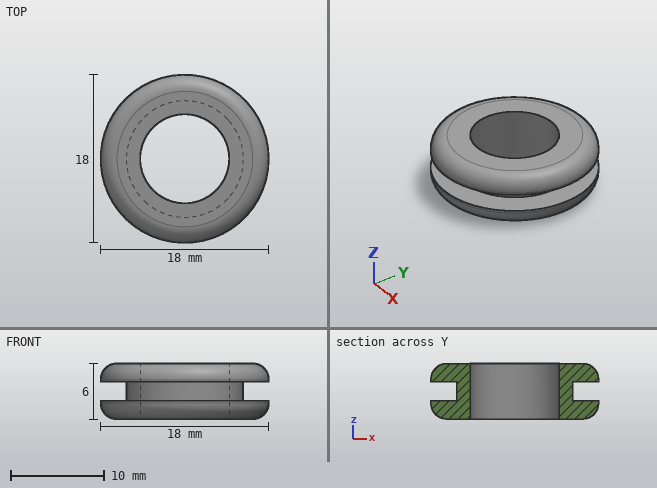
import cadquery as cq

outer_diameter = 18.0
neck_diameter = 12.5
bore_diameter = 9.5
height = 6.0
flange_thickness = height / 3
rim_radius = 1.75

neck_height = height - 2 * flange_thickness


def disc(diameter, thickness, base_z):
    """Plain disc on the Z axis, rising from base_z."""
    return cq.Workplane("XY").workplane(offset=base_z).circle(diameter / 2).extrude(thickness)


def flange(base_z, rounded_edge):
    """Flange rising from base_z, with the selected circular edge rounded."""
    return disc(outer_diameter, flange_thickness, base_z).edges(rounded_edge).fillet(rim_radius)


lower_flange = flange(-height / 2, "<Z")
upper_flange = flange(neck_height / 2, ">Z")
neck = disc(neck_diameter, neck_height, -neck_height / 2)
bore = disc(bore_diameter, height, -height / 2)

result = lower_flange.union(neck).union(upper_flange).cut(bore)